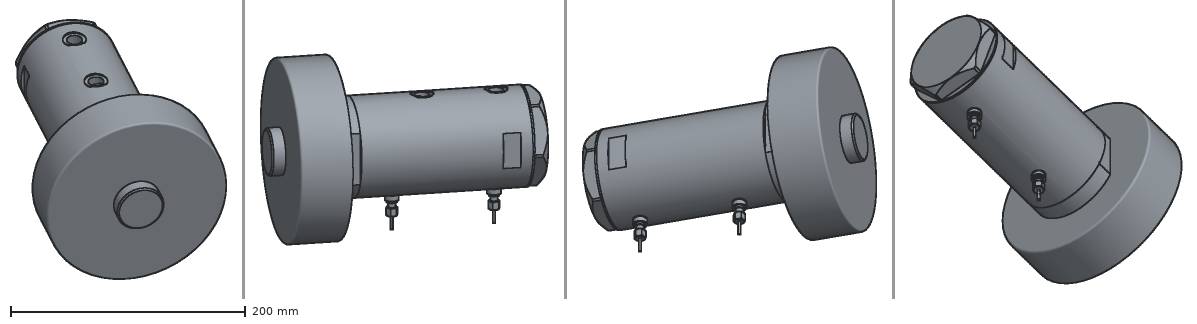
import cadquery as cq
import math


body_radius = 44.0
bore_radius = 31.5
head_seat_radius = 40.0
rod_radius = 20.7

hex_length = 13.0
cap_flange_width = 1.7
housing_start_x = hex_length + cap_flange_width
cap_inner_x = 41.0
head_inner_x = 102.0
housing_end_x = 164.3
disc_start_x = 179.8
disc_end_x = 225.5
rod_end_x = 237.5

hex_sides = 6
hex_flat_distance = 38.0
hex_corner_limit = 43.2
cap_face_radius = 37.8
cap_turn = 7.9

housing_flat_distance = 41.0
housing_flat_start_x = 25.0
housing_flat_end_x = 40.4
neck_flat_distance = 37.5

port_radius = 6.6
port_face_radius = 10.0
port_face_height = 42.5
port_xs = (37.3, head_inner_x)

disc_diameter = 160.0
disc_edge_radius = 2.0
piston_length = 30.0
rod_chamfer = 1.5

sensor_xs = (39.2, 128.5)
shank_radius = 5.5
shank_top = port_face_height
collar_top = 44.5
collar_radius = 6.2
collar_bottom = 49.5
step_radius = 4.5
step_bottom = 51.5
stem_radius = 3.3
nut_top = 55.5
nut_bottom = 63.6
nut_corner_radius = 5.2
nut_chamfer = 1.2
nut_turn = 6.0
cable_radius = 1.2
cable_bottom = 76.0


def cylinder_x(radius, start_x, end_x):
    """Solid cylinder on the main axis between two stations."""
    return cq.Workplane("YZ").workplane(offset=start_x).circle(radius).extrude(end_x - start_x)


def cylinder_z(radius, x, bottom_z, top_z):
    """Solid vertical cylinder at station x."""
    return cq.Workplane("XY", origin=(x, 0, bottom_z)).circle(radius).extrude(top_z - bottom_z)


def cut_flats(body, flat_distance, start_x, end_x):
    """Cut two flats facing -Y and +Y between two stations."""
    flat_depth = body_radius - flat_distance
    for side in (-1, 1):
        cutter = cq.Workplane("XY").box(end_x - start_x, flat_depth, 2 * body_radius)
        middle = ((start_x + end_x) / 2, side * (flat_distance + flat_depth / 2), 0)
        body = body.cut(cutter.translate(middle))
    return body


def make_housing():
    housing = cylinder_x(body_radius, housing_start_x, housing_end_x)
    housing = housing.cut(cylinder_x(bore_radius, housing_start_x, housing_end_x))
    housing = housing.cut(cylinder_x(head_seat_radius, head_inner_x, housing_end_x))
    housing = cut_flats(housing, housing_flat_distance, housing_flat_start_x, housing_flat_end_x)
    for x in port_xs:
        housing = housing.cut(cylinder_z(port_face_radius, x, port_face_height, body_radius))
        housing = housing.cut(cylinder_z(port_radius, x, 0, body_radius))
    for x in sensor_xs:
        housing = housing.cut(cylinder_z(shank_radius, x, -body_radius, -shank_top))
    return housing


def make_cap():
    hex_diameter = 2 * hex_flat_distance / math.cos(math.pi / hex_sides)
    hexagon = cq.Workplane("YZ").polygon(hex_sides, hex_diameter).extrude(hex_length)
    turned_blank = (
        cylinder_x(hex_corner_limit, 0, hex_length)
        .faces("<X")
        .chamfer(hex_corner_limit - cap_face_radius)
    )
    cap = hexagon.intersect(turned_blank).rotate((0, 0, 0), (1, 0, 0), -cap_turn)
    cap = cap.union(cylinder_x(body_radius, hex_length, housing_start_x))
    return cap.union(cylinder_x(bore_radius, housing_start_x, cap_inner_x))


def make_head():
    head = cylinder_x(body_radius, housing_end_x, disc_start_x)
    head = cut_flats(head, neck_flat_distance, housing_end_x, disc_start_x)
    head = head.union(cylinder_x(head_seat_radius, head_inner_x, housing_end_x))
    return head.cut(cylinder_x(rod_radius, head_inner_x, disc_start_x))


def make_disc():
    disc = cylinder_x(disc_diameter / 2, disc_start_x, disc_end_x).edges().fillet(disc_edge_radius)
    return disc.cut(cylinder_x(rod_radius, disc_start_x, disc_end_x))


def make_piston_rod():
    rod = cylinder_x(rod_radius, cap_inner_x, rod_end_x).faces(">X").chamfer(rod_chamfer)
    return rod.union(cylinder_x(bore_radius, cap_inner_x, cap_inner_x + piston_length))


def make_sensor(x):
    sensor = cylinder_z(shank_radius, x, -collar_top, -shank_top)
    sensor = sensor.union(cylinder_z(collar_radius, x, -collar_bottom, -collar_top))
    sensor = sensor.union(cylinder_z(step_radius, x, -step_bottom, -collar_bottom))
    sensor = sensor.union(cylinder_z(stem_radius, x, -nut_top, -step_bottom))

    nut_height = nut_bottom - nut_top
    nut = (
        cq.Workplane("XY", origin=(x, 0, -nut_bottom))
        .transformed(rotate=(0, 0, nut_turn))
        .polygon(hex_sides, 2 * nut_corner_radius)
        .extrude(nut_height)
    )
    nut_blank = cylinder_z(nut_corner_radius, x, -nut_bottom, -nut_top).edges().chamfer(nut_chamfer)
    sensor = sensor.union(nut.intersect(nut_blank))
    return sensor.union(cylinder_z(cable_radius, x, -cable_bottom, -nut_bottom))


housing = make_housing()
cap = make_cap()
head = make_head()
disc = make_disc()
piston_rod = make_piston_rod()
sensors = [make_sensor(x) for x in sensor_xs]

result = cq.Compound.makeCompound(
    [
        housing.val(),
        cap.val(),
        head.val(),
        disc.val(),
        piston_rod.val(),
        *[sensor.val() for sensor in sensors],
    ]
)